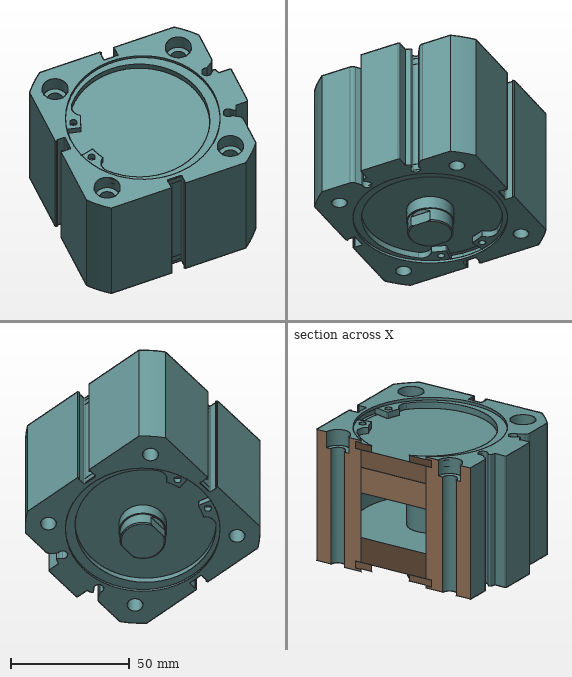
import cadquery as cq
import math

WIDTH = 77.5
HALF = WIDTH / 2
TOTAL_Y = 83.0
HEIGHT = 60.0
CORNER_FLAT_END = 30.8
CORNER_RADIUS = math.hypot(HALF, CORNER_FLAT_END)

RAIL_HALF_WIDTH = 9.3
RAIL_EDGE_RADIUS = 0.5
RAIL_TOP = TOTAL_Y - HALF
NOTCH_X = 11.7
NOTCH_Y = 34.2
NOTCH_RADIUS = 2.1
NOTCH_INNER_ANGLE = math.radians(134)
NOTCH_OUTER_ANGLE = math.radians(24)
LIP_TOP = (11.2, 38.0)
LIP_TIP = (11.6, 37.35)
LIP_BOTTOM = (11.3, 36.7)
FLANK_TOP = (15.35, 37.6)
FLANK_ROUND_MIDDLE = (16.2, 38.4)
FLANK_ROUND_END = 17.35

SLOT_HALF_WIDTH = 3.2
SLOT_DEPTH = 4.5
SLOT_CORNER_RADIUS = 0.3
SLOT_LIP_HALF_GAP = 2.7
SLOT_LIP_THICKNESS = 0.8
SLOT_MOUTH_CHAMFER = 0.4
SLOT_TURNS = (0, 90, -90)

MOUNT_PITCH = 56.35
MOUNT_DIAMETER = 6.6
COUNTERBORE_DIAMETER = 10.95
COUNTERBORE_DEPTH = 7.2

BORE_RADIUS = 32.5
GROOVE_RADIUS = 34.0
RING_THICKNESS = 2.9
RING_SETBACK = 1.25
RING_LEVELS = (RING_SETBACK, HEIGHT - RING_SETBACK - RING_THICKNESS)
COVER_SETBACK = RING_SETBACK + RING_THICKNESS

RING_HOLE_RADIUS = 29.7
RING_HOLE_OFFSET = -1.6
GAP_HALF_ANGLE = 13.5
LUG_OUTER_ANGLE = 27.4
LUG_INNER_RADIUS = 26.2
LUG_ROOT_MIDDLE = (16.0, -25.5)
LUG_ROOT_END_X = 18.9
LUG_CORNER_RADIUS = 0.4
LUG_HOLE_RADIUS = 1.5
LUG_HOLE_DISTANCE = 29.3
LUG_HOLE_ANGLE = 19.7

HEAD_COVER_THICKNESS = 8.3
ROD_COVER_THICKNESS = 11.6
PISTON_THICKNESS = 11.6
HEAD_COVER_BASE = HEIGHT - COVER_SETBACK - HEAD_COVER_THICKNESS
ROD_DIAMETER = 20.0
ROD_RADIUS = ROD_DIAMETER / 2
ROD_NECK_RADIUS = 9.55
ROD_COLLAR_LENGTH = 1.7
ROD_PROJECTION = 8.0
ROD_END_CHAMFER = 0.5
FLAT_DISTANCE = 8.4
FLAT_LENGTH = 5.0


def mirrored(point):
    return (-point[0], point[1])


def below_axis(radius, degrees):
    """Point at a radius, turned from the -Y direction towards +X."""
    angle = math.radians(degrees)
    return (radius * math.sin(angle), -radius * math.cos(angle))


def notch_point(angle):
    return (NOTCH_X + NOTCH_RADIUS * math.cos(angle), NOTCH_Y + NOTCH_RADIUS * math.sin(angle))


def housing_blank():
    corner_middle = CORNER_RADIUS / math.sqrt(2)
    half = (
        cq.Workplane("XY")
        .moveTo(0, -HALF)
        .lineTo(CORNER_FLAT_END, -HALF)
        .threePointArc((corner_middle, -corner_middle), (HALF, -CORNER_FLAT_END))
        .lineTo(HALF, CORNER_FLAT_END)
        .threePointArc((corner_middle, corner_middle), (CORNER_FLAT_END, HALF))
        .lineTo(FLANK_ROUND_END, HALF)
        .threePointArc(FLANK_ROUND_MIDDLE, FLANK_TOP)
        .lineTo(*notch_point(NOTCH_OUTER_ANGLE))
        .threePointArc((NOTCH_X, NOTCH_Y - NOTCH_RADIUS), notch_point(NOTCH_INNER_ANGLE))
        .lineTo(*LIP_BOTTOM)
        .threePointArc(LIP_TIP, LIP_TOP)
        .lineTo(RAIL_HALF_WIDTH, HALF)
        .lineTo(RAIL_HALF_WIDTH, RAIL_TOP)
        .lineTo(0, RAIL_TOP)
    )
    return half.mirrorY().extrude(HEIGHT).edges("|Z and >Y").fillet(RAIL_EDGE_RADIUS)


def sensor_slot():
    """Cutter for the slot on the -Y side."""
    lip_y = -HALF + SLOT_LIP_THICKNESS
    floor_y = -HALF + SLOT_DEPTH
    mouth_half = SLOT_LIP_HALF_GAP + SLOT_MOUTH_CHAMFER
    channel = (
        cq.Workplane("XY")
        .center(0, (lip_y + floor_y) / 2)
        .rect(2 * SLOT_HALF_WIDTH, floor_y - lip_y)
        .extrude(HEIGHT)
        .edges("|Z and >Y")
        .fillet(SLOT_CORNER_RADIUS)
    )
    mouth = (
        cq.Workplane("XY")
        .polyline([
            (-mouth_half, -HALF),
            (mouth_half, -HALF),
            (SLOT_LIP_HALF_GAP, -HALF + SLOT_MOUTH_CHAMFER),
            (SLOT_LIP_HALF_GAP, lip_y),
            (-SLOT_LIP_HALF_GAP, lip_y),
            (-SLOT_LIP_HALF_GAP, -HALF + SLOT_MOUTH_CHAMFER),
        ])
        .close()
        .extrude(HEIGHT)
    )
    return channel.union(mouth)


def make_housing():
    body = housing_blank()
    slot = sensor_slot()
    for turn in SLOT_TURNS:
        body = body.cut(slot.rotate((0, 0, 0), (0, 0, 1), turn))
    body = (
        body.faces(">Z")
        .workplane(origin=(0, 0, HEIGHT))
        .rect(MOUNT_PITCH, MOUNT_PITCH, forConstruction=True)
        .vertices()
        .cboreHole(MOUNT_DIAMETER, COUNTERBORE_DIAMETER, COUNTERBORE_DEPTH)
    )
    body = body.cut(cq.Workplane("XY").circle(BORE_RADIUS).extrude(HEIGHT))
    groove = cq.Workplane("XY").circle(GROOVE_RADIUS).extrude(RING_THICKNESS)
    for ring_z in RING_LEVELS:
        body = body.cut(groove.translate((0, 0, ring_z)))
    return body


def make_retaining_ring(base_z):
    gap_outer = below_axis(GROOVE_RADIUS, GAP_HALF_ANGLE)
    gap_inner = below_axis(LUG_INNER_RADIUS, GAP_HALF_ANGLE)
    lug_middle = below_axis(LUG_INNER_RADIUS, (GAP_HALF_ANGLE + LUG_OUTER_ANGLE) / 2)
    lug_corner = below_axis(LUG_INNER_RADIUS, LUG_OUTER_ANGLE)
    root_drop = math.sqrt(RING_HOLE_RADIUS**2 - LUG_ROOT_END_X**2)
    root_end = (LUG_ROOT_END_X, RING_HOLE_OFFSET - root_drop)
    ring = (
        cq.Workplane("XY")
        .moveTo(*gap_outer)
        .threePointArc((0, GROOVE_RADIUS), mirrored(gap_outer))
        .lineTo(*mirrored(gap_inner))
        .threePointArc(mirrored(lug_middle), mirrored(lug_corner))
        .threePointArc(mirrored(LUG_ROOT_MIDDLE), mirrored(root_end))
        .threePointArc((0, RING_HOLE_OFFSET + RING_HOLE_RADIUS), root_end)
        .threePointArc(LUG_ROOT_MIDDLE, lug_corner)
        .threePointArc(lug_middle, gap_inner)
        .close()
        .extrude(RING_THICKNESS)
    )
    for corner in (gap_inner, mirrored(gap_inner)):
        corner_edge = cq.selectors.NearestToPointSelector((*corner, RING_THICKNESS / 2))
        ring = ring.edges(corner_edge).fillet(LUG_CORNER_RADIUS)
    lug_hole = below_axis(LUG_HOLE_DISTANCE, LUG_HOLE_ANGLE)
    lug_holes = (
        cq.Workplane("XY")
        .pushPoints([lug_hole, mirrored(lug_hole)])
        .circle(LUG_HOLE_RADIUS)
        .extrude(RING_THICKNESS)
    )
    return ring.cut(lug_holes).translate((0, 0, base_z))


def make_head_cover():
    return (
        cq.Workplane("XY", origin=(0, 0, HEAD_COVER_BASE))
        .circle(BORE_RADIUS)
        .extrude(HEAD_COVER_THICKNESS)
    )


def make_rod_cover():
    return (
        cq.Workplane("XY", origin=(0, 0, COVER_SETBACK))
        .circle(BORE_RADIUS)
        .circle(ROD_RADIUS)
        .extrude(ROD_COVER_THICKNESS)
    )


def wrench_flat():
    """Cutter for the flat on the -Y side of the rod, with a 45 degree run-out up to the collar."""
    flat_top = -ROD_PROJECTION + FLAT_LENGTH
    runout = -ROD_COLLAR_LENGTH - flat_top
    return (
        cq.Workplane("YZ")
        .polyline([
            (-FLAT_DISTANCE, -ROD_PROJECTION),
            (-FLAT_DISTANCE, flat_top),
            (-FLAT_DISTANCE - runout, -ROD_COLLAR_LENGTH),
            (-ROD_RADIUS, -ROD_COLLAR_LENGTH),
            (-ROD_RADIUS, -ROD_PROJECTION),
        ])
        .close()
        .extrude(ROD_RADIUS, both=True)
    )


def make_piston_rod():
    piston_top = HEAD_COVER_BASE
    piston_bottom = piston_top - PISTON_THICKNESS
    body = (
        cq.Workplane("XZ")
        .polyline([
            (0, -ROD_PROJECTION),
            (ROD_NECK_RADIUS - ROD_END_CHAMFER, -ROD_PROJECTION),
            (ROD_NECK_RADIUS, -ROD_PROJECTION + ROD_END_CHAMFER),
            (ROD_NECK_RADIUS, -ROD_COLLAR_LENGTH),
            (ROD_RADIUS, -ROD_COLLAR_LENGTH),
            (ROD_RADIUS, piston_bottom),
            (BORE_RADIUS, piston_bottom),
            (BORE_RADIUS, piston_top),
            (0, piston_top),
        ])
        .close()
        .revolve(360, (0, 0), (0, 1))
    )
    flat = wrench_flat()
    return body.cut(flat).cut(flat.mirror("XZ"))


housing = make_housing()
head_cover = make_head_cover()
rod_cover = make_rod_cover()
piston_rod = make_piston_rod()
retaining_rings = [make_retaining_ring(level) for level in RING_LEVELS]

result = cq.Compound.makeCompound([
    housing.val(),
    head_cover.val(),
    rod_cover.val(),
    piston_rod.val(),
    *[ring.val() for ring in retaining_rings],
])